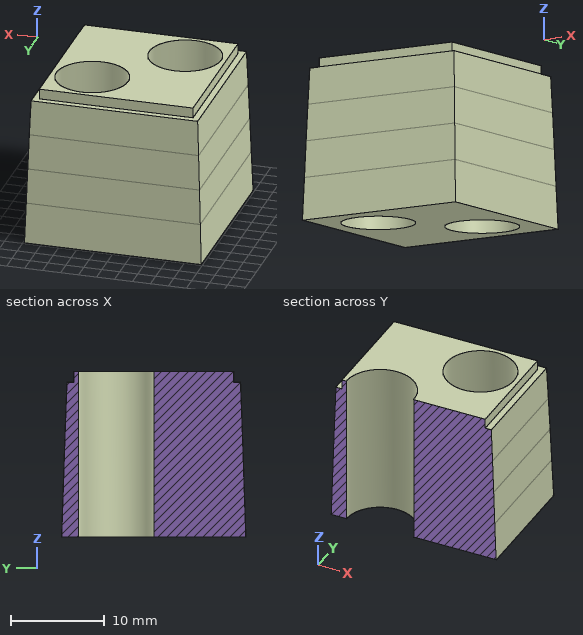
import cadquery as cq

base_width = 19.71
total_height = 17.7

layer_tops = [(4.65, 19.4), (8.63, 19.14), (12.61, 18.86), (16.55, 18.57)]
body_height = layer_tops[-1][0]

lip_width = 17.1

hole_diameter = 8.0
hole_offset = hole_diameter / 2


def tapered_layer(bottom, bottom_width, top, top_width):
    """Square frustum between two heights."""
    return (
        cq.Workplane("XY")
        .workplane(offset=bottom)
        .rect(bottom_width, bottom_width)
        .workplane(offset=top - bottom)
        .rect(top_width, top_width)
        .loft(ruled=True)
    )


def tapered_body():
    """Stack the layers from the base upwards."""
    bottom, bottom_width = 0.0, base_width
    body = cq.Workplane("XY")
    for top, top_width in layer_tops:
        body = body.union(tapered_layer(bottom, bottom_width, top, top_width))
        bottom, bottom_width = top, top_width
    return body


def top_lip():
    """Square plate from the top of the body to the full height."""
    return (
        cq.Workplane("XY")
        .workplane(offset=body_height)
        .rect(lip_width, lip_width)
        .extrude(total_height - body_height)
    )


def diagonal_holes():
    """Cylinders running the full height, either side of the centre."""
    centers = [(-hole_offset, -hole_offset), (hole_offset, hole_offset)]
    return (
        cq.Workplane("XY")
        .pushPoints(centers)
        .circle(hole_diameter / 2)
        .extrude(total_height)
    )


result = tapered_body().union(top_lip()).cut(diagonal_holes())